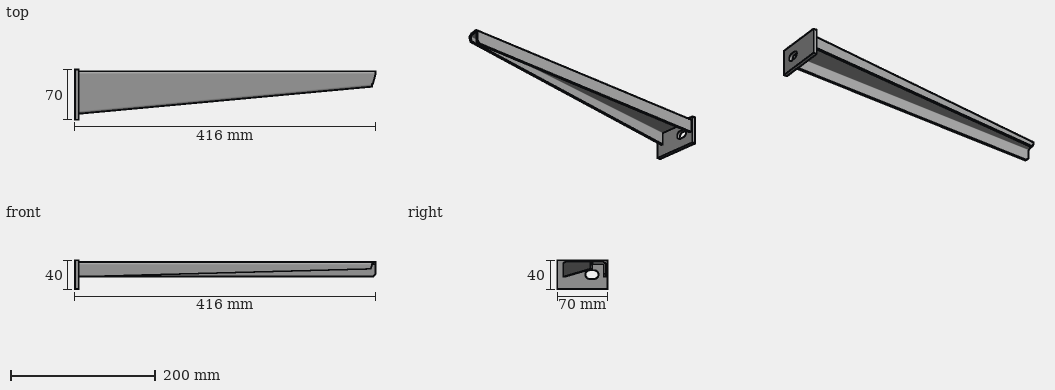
import cadquery as cq
import math

length = 416.0
plate_width = 70.0
plate_height = 40.0
plate_thickness = 5.5
slot_length = 18.0
slot_height = 11.5
slot_y = 13.5

sheet = 3.0
bend_radius = 3.7
arm_top = 17.5
arm_height = 20.5
back_y = 32.5
front_root_y = -26.5
front_tip_y = 11.0
front_setback = 5.0
web_setback = 3.7
front_tip_height = 9.5
front_end_lean = 2.0
tip_chamfer = 3.7

arm_bottom = arm_top - arm_height
bend_line_z = arm_top - bend_radius
back_bend_y = back_y - bend_radius
front_end_x = length - front_setback
front_slope = (front_tip_y - front_root_y) / (front_end_x - plate_thickness)
slope_stretch = math.hypot(1, front_slope)


def front_y(x, inset):
    """Y of the front flange's plan line, moved inward by inset."""
    return front_root_y + front_slope * (x - plate_thickness) + inset * slope_stretch


def wedge(inset):
    """Tapered block with rounded upper long edges, inset from the arm's outer faces."""
    outline = [
        (plate_thickness, front_y(plate_thickness, inset)),
        (length, front_y(length, inset)),
        (length, back_y - inset),
        (plate_thickness, back_y - inset),
    ]
    block = cq.Workplane("XY", origin=(0, 0, arm_bottom)).polyline(outline).close()
    block = block.extrude(arm_height - inset)
    return block.faces(">Z").edges("not |Y").fillet(bend_radius - inset)


def make_plate():
    plate = cq.Workplane("YZ").rect(plate_width, plate_height).extrude(plate_thickness)
    slot = cq.Workplane("YZ").center(slot_y, 0).slot2D(slot_length, slot_height).extrude(plate_thickness)
    return plate.cut(slot)


def arm_plan():
    """Block whose plan gives the end of the web and of both flanges."""
    web_end_x = length - web_setback
    front_bend_y = front_y(web_end_x, bend_radius)
    outline = [
        (plate_thickness, back_y),
        (length, back_y),
        (length, back_bend_y),
        (web_end_x, front_bend_y),
        (front_end_x, front_bend_y),
        (front_end_x, front_tip_y),
        (plate_thickness, front_root_y),
    ]
    return cq.Workplane("XY", origin=(0, 0, arm_bottom)).polyline(outline).close().extrude(arm_height)


def front_flange_waste():
    """Material removed below the sloping lower edge and past the leaning end."""
    outline = [
        (plate_thickness, arm_bottom),
        (front_end_x - front_end_lean, arm_top - front_tip_height),
        (front_end_x, bend_line_z),
        (length, bend_line_z),
        (length, arm_bottom),
    ]
    waste = cq.Workplane("XZ", origin=(0, back_bend_y, 0)).polyline(outline).close()
    return waste.extrude(back_bend_y - front_root_y)


def tip_corner():
    """Lower outer corner of the back flange."""
    outline = [
        (length - tip_chamfer, arm_bottom),
        (length, arm_bottom),
        (length, arm_bottom + tip_chamfer),
    ]
    corner = cq.Workplane("XZ", origin=(0, back_y, 0)).polyline(outline).close()
    return corner.extrude(bend_radius)


def make_arm():
    channel = wedge(0).cut(wedge(sheet))
    arm = channel.intersect(arm_plan())
    return arm.cut(front_flange_waste()).cut(tip_corner())


plate = make_plate()
arm = make_arm()

result = cq.Compound.makeCompound([plate.val(), *arm.vals()])